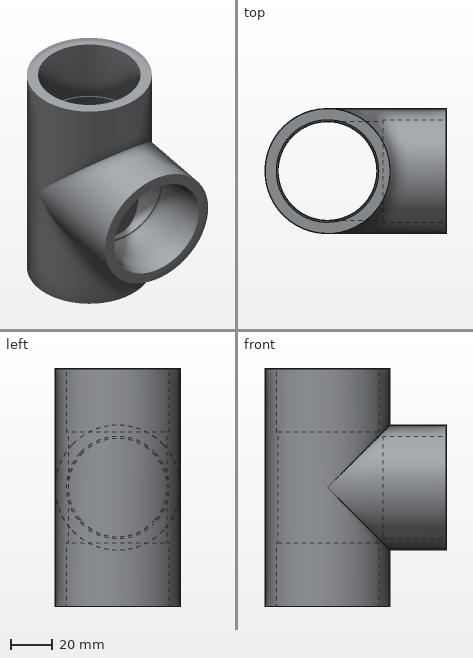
import cadquery as cq

run_length = 116.0
branch_reach = run_length / 2
outer_diameter = 61.0
socket_diameter = 50.0
bore_diameter = 48.1
socket_depth = 31.0


def tee_of_cylinders(diameter):
    """Full-length run joined to a branch of the same diameter, centred at the origin."""
    radius = diameter / 2
    run = cq.Workplane("XY").circle(radius).extrude(run_length / 2, both=True)
    branch = cq.Workplane("YZ").circle(radius).extrude(branch_reach)
    return run.union(branch)


def socket(plane, mouth_offset):
    """Pipe socket cut inward from a mouth at the signed offset along the plane's normal."""
    inward_depth = -socket_depth if mouth_offset > 0 else socket_depth
    return (
        cq.Workplane(plane)
        .workplane(offset=mouth_offset)
        .circle(socket_diameter / 2)
        .extrude(inward_depth)
    )


result = tee_of_cylinders(outer_diameter).cut(tee_of_cylinders(bore_diameter))

for plane, mouth_offset in (
    ("XY", run_length / 2),
    ("XY", -run_length / 2),
    ("YZ", branch_reach),
):
    result = result.cut(socket(plane, mouth_offset))